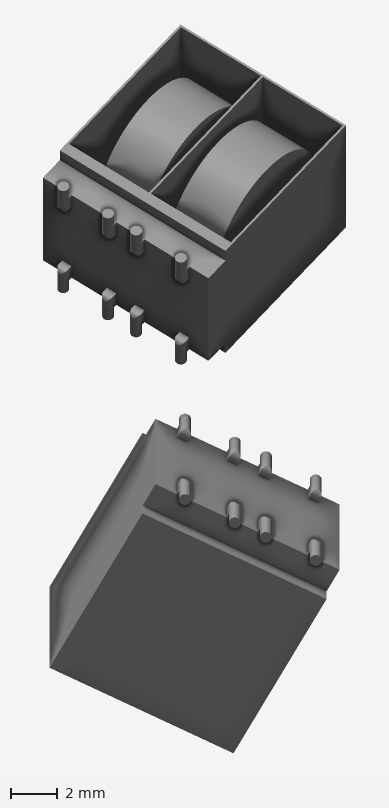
import cadquery as cq

width = 8.9
height = 7.2
total_length = 10.2
pin_diameter = 0.51
wall = 0.1
foot_length = 1.19
foot_step = 0.68
chamber_length = 7.88

pin_length = 1.5
inner_pin_x = 0.75
outer_pin_x = 3.16

coil_radius = height / 2 - wall
coil_width = 2.55
coil_x = 1.89
coil_back_distance = 4.0

back_y = total_length / 2
foot_face_y = -back_y + pin_diameter
step_y = foot_face_y + foot_length
top_z = height / 2
foot_top_z = top_z - foot_step
pin_radius = pin_diameter / 2
pin_axis_y = foot_face_y - pin_radius
pin_front_y = foot_face_y - pin_diameter
pin_tip_z = top_z - pin_length
chamber_width = (width - 3 * wall) / 2
chamber_x = (chamber_width + wall) / 2
chamber_y = back_y - wall - chamber_length / 2
coil_y = back_y - coil_back_distance


def block(size_x, y_min, y_max, z_min, z_max, center_x=0):
    """Box centred on center_x, between the given Y and Z limits."""
    return (
        cq.Workplane("XY")
        .box(size_x, y_max - y_min, z_max - z_min)
        .translate((center_x, (y_min + y_max) / 2, (z_min + z_max) / 2))
    )


def make_upper_pin(x):
    """Round pin with a square back against the foot and a rounded lower end."""
    round_pin = (
        cq.Workplane("XY", origin=(x, pin_axis_y, pin_tip_z))
        .circle(pin_radius)
        .extrude(pin_length)
    )
    square_back = block(pin_diameter, pin_axis_y, foot_face_y, pin_tip_z, foot_top_z, x)
    rounded_envelope = (
        block(pin_diameter, pin_front_y, foot_face_y, pin_tip_z, top_z, x)
        .edges("|X and <Y and <Z")
        .fillet(pin_radius)
    )
    return round_pin.union(square_back).intersect(rounded_envelope)


def make_housing():
    """Box, foot, two chambers and the pins as one solid."""
    body = block(width, step_y, back_y, -top_z, top_z)
    body = body.union(block(width, foot_face_y, step_y, -foot_top_z, foot_top_z))
    for side in (-1, 1):
        chamber = block(
            chamber_width,
            chamber_y - chamber_length / 2,
            chamber_y + chamber_length / 2,
            -top_z + wall,
            top_z,
            side * chamber_x,
        )
        body = body.cut(chamber)
    for x in (-outer_pin_x, -inner_pin_x, inner_pin_x, outer_pin_x):
        upper_pin = make_upper_pin(x)
        body = body.union(upper_pin).union(upper_pin.mirror("XY"))
    return body


def make_coil(center_x):
    """Solid disc with its axis along X."""
    return (
        cq.Workplane("YZ", origin=(center_x - coil_width / 2, coil_y, 0))
        .circle(coil_radius)
        .extrude(coil_width)
    )


housing = make_housing()
coils = [make_coil(side * coil_x) for side in (-1, 1)]

result = cq.Compound.makeCompound([housing.solids().val(), *[coil.val() for coil in coils]])